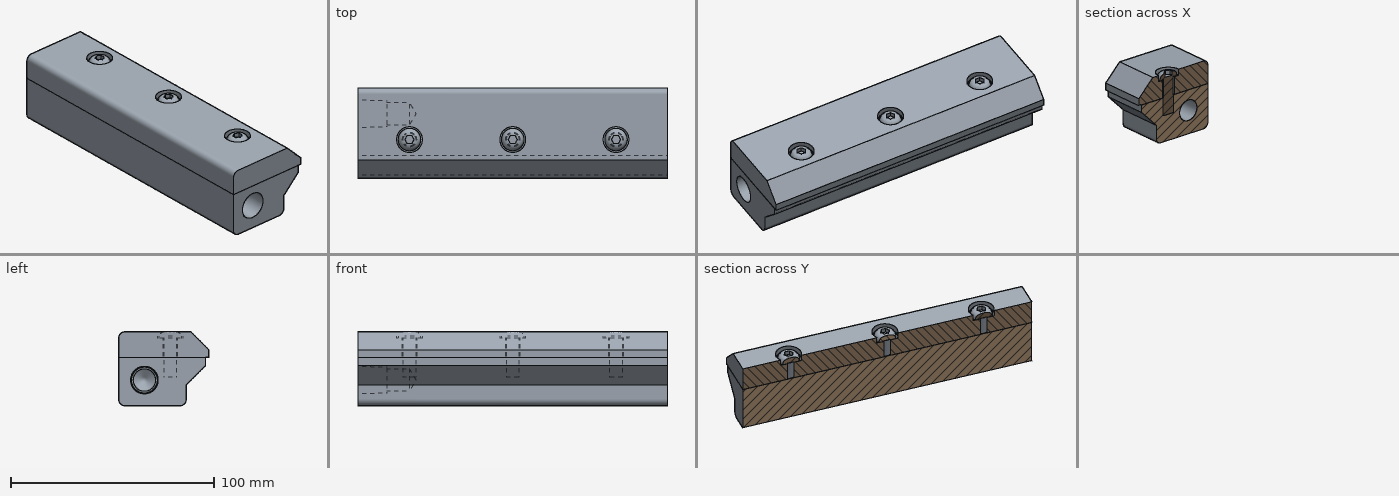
import cadquery as cq
import math

LENGTH = 152.4
DEPTH = 44.44
OVERALL_HEIGHT = 36.69

BASE_HEIGHT = 23.81
JAW_HEIGHT = 12.7
JAW_TOP = BASE_HEIGHT + JAW_HEIGHT
EDGE_RADIUS = 3.175

NOSE_CHAMFER = 8.93

LIP_SETBACK = 1.59
LIP_HEIGHT = 3.97
LIP_DEPTH = DEPTH - LIP_SETBACK
FOOT_DEPTH = 33.34
UNDERCUT = LIP_DEPTH - FOOT_DEPTH

END_HOLE_INSET = 12.7
BORE_MOUTH_DIAMETER = 13.6
BORE_END_DIAMETER = 12.7
BORE_TAPER = 1 / 16
BORE_DEPTH = (BORE_MOUTH_DIAMETER - BORE_END_DIAMETER) / BORE_TAPER
PILOT_DIAMETER = 11.0
PILOT_DEPTH = 25.4
DRILL_POINT_ANGLE = 118

SCREW_COUNT = 3
SCREW_SPACING = LENGTH / SCREW_COUNT
SCREW_INSET = 25.4
SHANK_DIAMETER = 6.35
SHANK_LENGTH = 19.05
CLEARANCE_DIAMETER = 7.16
COUNTERBORE_DIAMETER = 12.7
HEAD_DIAMETER = 11.1
HEAD_HEIGHT = 3.35
HEAD_ROUND_RADIUS = 3.175
SOCKET_ACROSS_FLATS = 3.97
SOCKET_DEPTH = 2.2
SEAT_Z = OVERALL_HEIGHT - HEAD_HEIGHT
COUNTERBORE_DEPTH = JAW_TOP - SEAT_Z

screw_positions = [
    ((i - (SCREW_COUNT - 1) / 2) * SCREW_SPACING, -SCREW_INSET) for i in range(SCREW_COUNT)
]


def bar(outline):
    """Extrude a closed list of (Y, Z) points along the full length."""
    return cq.Workplane("YZ").polyline(outline).close().extrude(LENGTH / 2, both=True)


def vertical_holes(diameter, top_z, depth):
    """Cylinders reaching down from top_z at every screw position."""
    return (
        cq.Workplane("XY", origin=(0, 0, top_z))
        .pushPoints(screw_positions)
        .circle(diameter / 2)
        .extrude(-depth)
    )


def make_jaw():
    body = bar([
        (0, BASE_HEIGHT),
        (0, JAW_TOP),
        (-(DEPTH - NOSE_CHAMFER), JAW_TOP),
        (-DEPTH, JAW_TOP - NOSE_CHAMFER),
        (-DEPTH, BASE_HEIGHT),
    ])
    body = body.edges("|X and >Y and >Z").fillet(EDGE_RADIUS)
    body = body.cut(vertical_holes(CLEARANCE_DIAMETER, JAW_TOP, JAW_HEIGHT))
    return body.cut(vertical_holes(COUNTERBORE_DIAMETER, JAW_TOP, COUNTERBORE_DEPTH))


def make_end_hole():
    """Tapered bore and pilot cutter on the X axis, starting at the left end face."""
    pilot_radius = PILOT_DIAMETER / 2
    point_length = pilot_radius / math.tan(math.radians(DRILL_POINT_ANGLE / 2))
    return (
        cq.Workplane("XY")
        .polyline([
            (0, 0),
            (0, BORE_MOUTH_DIAMETER / 2),
            (BORE_DEPTH, BORE_END_DIAMETER / 2),
            (BORE_DEPTH, pilot_radius),
            (PILOT_DEPTH, pilot_radius),
            (PILOT_DEPTH + point_length, 0),
        ])
        .close()
        .revolve(360, (0, 0, 0), (1, 0, 0))
        .translate((-LENGTH / 2, -END_HOLE_INSET, END_HOLE_INSET))
    )


def make_base():
    lip_z = BASE_HEIGHT - LIP_HEIGHT
    body = bar([
        (0, 0),
        (0, BASE_HEIGHT),
        (-LIP_DEPTH, BASE_HEIGHT),
        (-LIP_DEPTH, lip_z),
        (-FOOT_DEPTH, lip_z - UNDERCUT),
        (-FOOT_DEPTH, 0),
    ])
    body = body.faces("<Z").edges("|X").fillet(EDGE_RADIUS)
    body = body.cut(make_end_hole())
    thread_depth = SHANK_LENGTH - (JAW_HEIGHT - COUNTERBORE_DEPTH)
    return body.cut(vertical_holes(SHANK_DIAMETER, BASE_HEIGHT, thread_depth))


def make_screw():
    """Button-head screw with the underside of its head on Z = 0."""
    head = cq.Workplane("XY").circle(HEAD_DIAMETER / 2).extrude(HEAD_HEIGHT)
    head = head.faces(">Z").edges().fillet(HEAD_ROUND_RADIUS)
    shank = cq.Workplane("XY").circle(SHANK_DIAMETER / 2).extrude(-SHANK_LENGTH)
    socket = (
        cq.Workplane("XY", origin=(0, 0, HEAD_HEIGHT))
        .transformed(rotate=(0, 0, 90))
        .polygon(6, SOCKET_ACROSS_FLATS, circumscribed=True)
        .extrude(-SOCKET_DEPTH)
    )
    return head.union(shank).cut(socket)


jaw = make_jaw()
base = make_base()
screws = [make_screw().translate((x, y, SEAT_Z)) for x, y in screw_positions]

result = cq.Compound.makeCompound([base.val(), jaw.val(), *[screw.val() for screw in screws]])